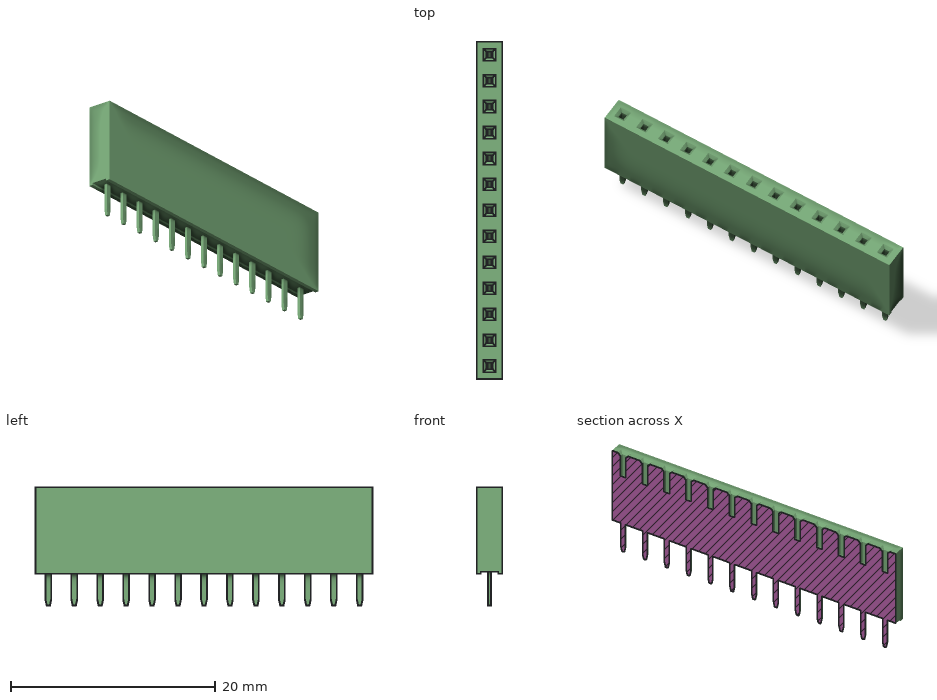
import cadquery as cq

contact_count = 13
length = 33.02
pitch = length / contact_count
width = 2.55
total_height = 11.6
pin_projection = 3.1
housing_height = total_height - pin_projection

foot_width = 0.43
foot_height = 0.2

mouth_x = 1.22
mouth_y = 1.2
lead_in_depth = 0.3
well_x = mouth_x - 2 * lead_in_depth
well_y = mouth_y - 2 * lead_in_depth
well_depth = 3.3

pin_thickness = 0.3
pin_width = 0.6
tip_width = 0.33
tip_length = 0.6
pin_rise = 0.65

contact_positions = [(0, (i - (contact_count - 1) / 2) * pitch) for i in range(contact_count)]
well_floor = housing_height - well_depth


def make_housing():
    block = cq.Workplane("XY").box(width, length, housing_height, centered=(True, True, False))
    recess = cq.Workplane("XY").box(
        width - 2 * foot_width, length, foot_height, centered=(True, True, False)
    )
    return block.cut(recess)


def make_socket():
    lead_in = (
        cq.Workplane("XY", origin=(0, 0, housing_height))
        .rect(mouth_x, mouth_y)
        .workplane(offset=-lead_in_depth)
        .rect(well_x, well_y)
        .loft(ruled=True)
    )
    well = (
        cq.Workplane("XY", origin=(0, 0, well_floor))
        .rect(well_x, well_y)
        .extrude(well_depth - lead_in_depth)
    )
    return lead_in.union(well)


def make_pin():
    pin_top = well_floor + pin_rise
    shoulder = tip_length - pin_projection
    outline = [
        (-pin_width / 2, pin_top),
        (-pin_width / 2, shoulder),
        (-tip_width / 2, -pin_projection),
        (tip_width / 2, -pin_projection),
        (pin_width / 2, shoulder),
        (pin_width / 2, pin_top),
    ]
    return cq.Workplane("YZ").polyline(outline).close().extrude(pin_thickness / 2, both=True)


def at_each_contact(shape):
    solid = shape.val()
    return cq.Workplane("XY").pushPoints(contact_positions).eachpoint(lambda place: solid.moved(place))


housing = make_housing().cut(at_each_contact(make_socket()))
result = housing.union(at_each_contact(make_pin())).solids()